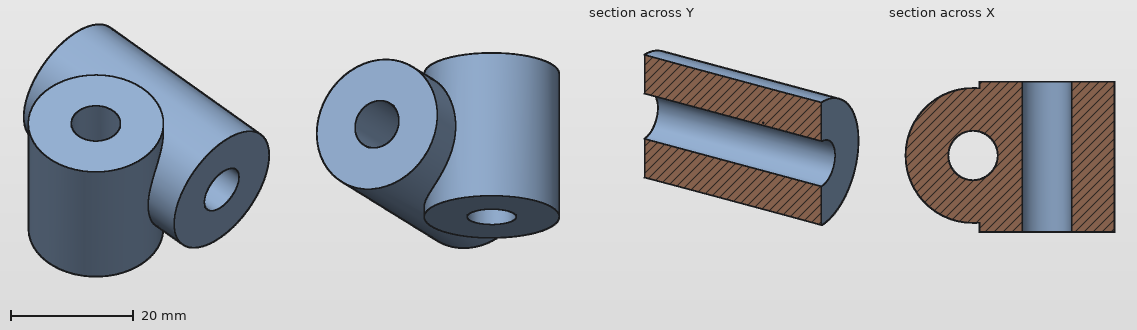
import cadquery as cq

outer_diameter = 22.0
bore_diameter = 8.0
axis_spacing = 12.05

horizontal_length = 34.5
left_reach = 17.6

vertical_height = 24.5
upper_reach = 12.0


def horizontal_cylinder(diameter):
    """Cylinder along X over the full length of the horizontal tube."""
    return (
        cq.Workplane("YZ", origin=(-left_reach, 0, 0))
        .circle(diameter / 2)
        .extrude(horizontal_length)
    )


def vertical_cylinder(diameter):
    """Cylinder along Z over the full height of the vertical tube."""
    return (
        cq.Workplane("XY", origin=(0, -axis_spacing, upper_reach - vertical_height))
        .circle(diameter / 2)
        .extrude(vertical_height)
    )


body = horizontal_cylinder(outer_diameter).union(vertical_cylinder(outer_diameter))

result = body.cut(horizontal_cylinder(bore_diameter)).cut(vertical_cylinder(bore_diameter))